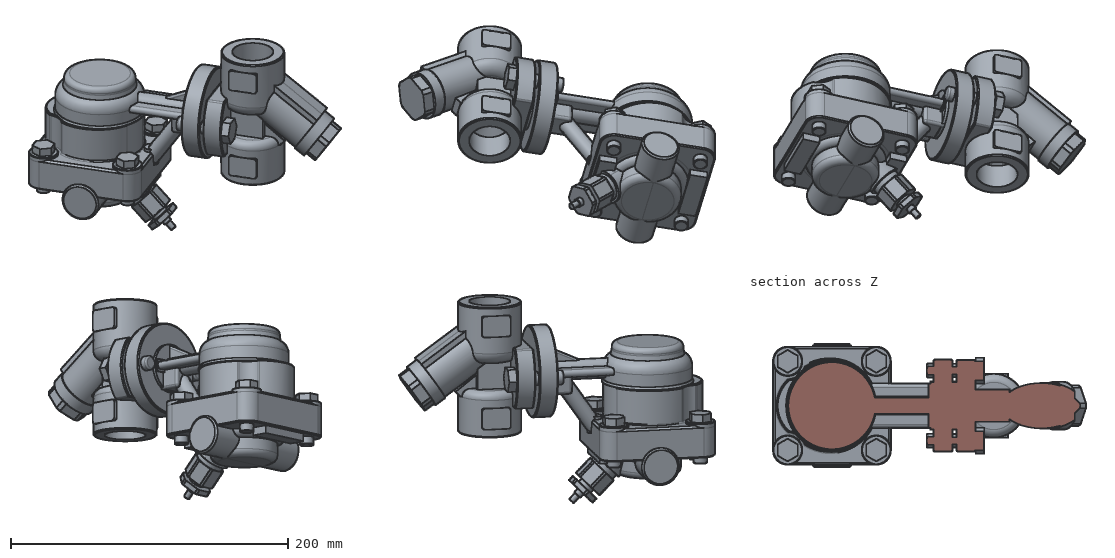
import cadquery as cq
import math


FLANGE_SIDE = 85.2
FLANGE_HEIGHT = 23.7
SEAT_HEIGHT = 25.3
CORNER_RADIUS = 10.6
BOLT_OFFSET = FLANGE_SIDE / 2 - CORNER_RADIUS
FLANGE_TOP_BEVEL = 1.5
FLANGE_BOTTOM_BEVEL = 1.0
SEAT_BEVEL = 0.5
BOLT_FLATS = 14.2
BOLT_HEAD_HEIGHT = 5.9
BOLT_DIAMETER = 10.0
BOLT_END_LENGTH = 5.7
BOLT_END_CHAMFER = 0.5

SHOULDER_RADIUS = 33.5
SHOULDER_SHIFT = -1.4
SHOULDER_TOP = 49.7
LOBE_RADIUS = 25.8
LOBE_REACH = 40.0
BOLT_CLEARANCE = 13.0
SHOULDER_EDGE = 1.0
SHOULDER_BASE_FILLET = 1.0
HOLLOW_BLEND = 2.0
HOLLOW_EDGE_MIN_X = 13.5
HOLLOW_EDGE_MIN_Y = 11.3
DOME_FOOT_FLARE = 1.0
DOME_FOOT_HEIGHT = 2.0
DOME_RADIUS = 32.3
DOME_ARC_START = 61.0
DOME_ARC_RADIUS = 9.7
DOME_ARC_HEIGHT = 8.8
CROWN_RADIUS = 26.0
CROWN_TOP = 79.0
CROWN_FILLET = 4.0
CROWN_BASE_RISE = 3.6

COVER_DEPTH = 18.5
COVER_RADIUS = 24.2
COVER_FLARE = 5.2
COVER_FILLET = 5.2
LEDGE_START = 27.1
LEDGE_END = 39.8
LEDGE_WIDTH = 40.0
LEDGE_DEPTH = 5.7
PLUG_DIAMETER = 27.5
PLUG_SPAN = 89.0
PLUG_CHAMFER = 1.4
PLUG_Z = PLUG_DIAMETER / 2 - COVER_DEPTH

VALVE_ANGLE = 45
VALVE_X = 48.0
VALVE_Z = -28.3
VALVE_FLATS = 21.7
VALVE_ROUND = 24.0
HANDLE_THICKNESS = 4.0
VALVE_STEPS = [
    (25.0, -49.7, -24.5),
    (21.0, -24.5, -20.1),
    (12.0, -5.2, 0.0),
    (6.0, 0.0, 5.7),
    (4.5, 5.7, 11.8),
]
VALVE_NUT_START = -20.1
VALVE_NUT_END = -5.2

PIPE_Z = 60.5
PIPE_DIAMETER = 14.5
WING_WIDTH = 32.3
WING_THICKNESS = 5.7
DISC_START = 73.3
DISC_THICKNESS = 13.8
DISC_DIAMETER = 67.0
DISC_CHAMFER = 1.0
HUB_DIAMETER = 35.0
HUB_LENGTH = 2.3
WING_FOOT_LENGTH = 3.6
WING_FOOT_HEIGHT = 9.0
GUSSET_LENGTH = 22.4
GUSSET_HEIGHT = 10.2
GUSSET_THICKNESS = 4.5
GUSSET_FILLET = 1.4
BOSS_LENGTH = 15.8
BOSS_WIDTH = 18.0
BOSS_BOTTOM = 44.0
BOSS_FILLET = 2.0

DIAGONAL_ANGLE = 55
DIAGONAL_DIAMETER = 12.0
DIAGONAL_X = 38.2
DIAGONAL_Z = 16.5
DIAGONAL_LENGTH = 45.2
PORT_DIAMETER = 10.5
PORT_REACH = 44.5
PORT_BOTTOM = 13.5
PORT_TOP = 26.0

GASKET_THICKNESS = 2.7
COLLAR_DIAMETER = 66.5
COLLAR_HEIGHT = 43.9
COLLAR_THICKNESS = 14.0
COLLAR_EDGE = 1.0
COLLAR_CORNER = 2.0
JOINT_BOLT_Y = 25.3
JOINT_HEAD_DIAMETER = 10.5
JOINT_HEAD_LENGTH = 5.0
JOINT_HEAD_FILLET = 1.4
JOINT_NUT_FLATS = 16.3
JOINT_NUT_HEIGHT = 6.0
COLLAR_START = DISC_START + DISC_THICKNESS + GASKET_THICKNESS
COLLAR_END = COLLAR_START + COLLAR_THICKNESS

BARREL_X = 116.7
BARREL_DIAMETER = 46.0
BARREL_BOTTOM = 17.6
BARREL_TOP = 113.7
BARREL_EDGE = 1.0
LOWER_BARREL_TOP = 51.3
LOWER_BARREL_ROUND = 5.9
UPPER_BARREL_BOTTOM = 71.0
UPPER_BARREL_ROUND = 8.8
NECK_END = 128.2
NECK_WIDTH = 23.5
WEB_WIDTH = 13.5
WEB_TIP = (143.4, 49.5)
WEB_TOP = 61.0
BORE_DIAMETER = 29.6
BORE_DEPTH = 19.0
DRILL_POINT_ANGLE = 118
PAD_LENGTH = 21.0
PAD_HEIGHT = 15.5
PAD_INSET = 14.0
PAD_SPAN = 46.4
PAD_CORNER = 2.0

BRANCH_ANGLE = 35
BRANCH_X = 167.3
BRANCH_Z = 53.4
BRANCH_DIAMETER = 33.0
BRANCH_LENGTH = 46.4
BRANCH_PAD_WIDTH = 22.4
BRANCH_PAD_START = -53.1
RIM_DIAMETER = 34.5
RIM_LENGTH = 8.8
CAP_FLATS = 29.6
CAP_ROUND = 32.3
CAP_LENGTH = 8.4


def box(x_range, y_range, z_range):
    """Box between the given limits."""
    size = [end - start for start, end in (x_range, y_range, z_range)]
    corner = (x_range[0], y_range[0], z_range[0])
    return cq.Workplane("XY").box(*size, centered=False).translate(corner)


def sloping_plane(x, z, angle):
    """Plane whose normal points towards +X, sloping down by the angle; its local X is global +Y."""
    slope = math.radians(angle)
    normal = (math.cos(slope), 0, -math.sin(slope))
    return cq.Plane(origin=(x, 0, z), xDir=(0, 1, 0), normal=normal)


def rod(plane, diameter, start, end):
    """Round bar along the normal of a plane."""
    return cq.Workplane(plane).workplane(offset=start).circle(diameter / 2).extrude(end - start)


def hexagon(plane, corners, start, end, turn=0):
    """Hexagonal bar along the normal of a plane, one corner on local X unless turned."""
    outline = cq.Workplane(plane).workplane(offset=start).transformed(rotate=(0, 0, turn))
    return outline.polygon(6, corners).extrude(end - start)


def across_corners(flats):
    return flats / math.cos(math.radians(30))


def x_plane(y, z):
    return cq.Plane(origin=(0, y, z), xDir=(0, 1, 0), normal=(1, 0, 0))


def z_plane(x, y):
    return cq.Plane(origin=(x, y, 0), xDir=(0, 1, 0), normal=(0, 0, 1))


def bolt_places():
    return [(sx * BOLT_OFFSET, sy * BOLT_OFFSET) for sx in (-1, 1) for sy in (-1, 1)]


def trap_body():
    """Square flange with the lobed shoulder on it."""
    flange = cq.Workplane("XY").rect(FLANGE_SIDE, FLANGE_SIDE).extrude(FLANGE_HEIGHT)
    flange = flange.edges("|Z").fillet(CORNER_RADIUS)
    flange = flange.faces(">Z").chamfer(FLANGE_TOP_BEVEL)
    flange = flange.faces("<Z").chamfer(FLANGE_BOTTOM_BEVEL)

    shoulder = rod(z_plane(SHOULDER_SHIFT, 0), 2 * SHOULDER_RADIUS, 0, SHOULDER_TOP)
    lobe = rod(z_plane(LOBE_RADIUS - LOBE_REACH, 0), 2 * LOBE_RADIUS, 0, SHOULDER_TOP)
    shoulder = shoulder.union(lobe)
    for x, y in bolt_places():
        if x < 0:
            shoulder = shoulder.cut(rod(z_plane(x, y), 2 * BOLT_CLEARANCE, 0, SHOULDER_TOP))
    for side in (-1, 1):
        hollow_edges = cq.selectors.BoxSelector(
            (-LOBE_REACH, side * HOLLOW_EDGE_MIN_Y, 0),
            (-HOLLOW_EDGE_MIN_X, side * SHOULDER_RADIUS, SHOULDER_TOP),
        )
        shoulder = shoulder.edges("|Z").edges(hollow_edges).fillet(HOLLOW_BLEND)
    shoulder = shoulder.faces(">Z").chamfer(SHOULDER_EDGE)

    below = (-LOBE_REACH, -BOLT_OFFSET, FLANGE_HEIGHT - SHOULDER_EDGE)
    above = (LOBE_REACH, BOLT_OFFSET, FLANGE_HEIGHT + SHOULDER_EDGE)
    base_edges = cq.selectors.BoxSelector(below, above)
    return flange.union(shoulder).edges(base_edges).fillet(SHOULDER_BASE_FILLET)


def bolts():
    """Corner seats with the hexagon heads above and the bolt ends below."""
    parts = cq.Workplane("XY")
    head_top = SEAT_HEIGHT + BOLT_HEAD_HEIGHT
    for x, y in bolt_places():
        plane = z_plane(x, y)
        seat = rod(plane, 2 * CORNER_RADIUS, FLANGE_BOTTOM_BEVEL, SEAT_HEIGHT)
        parts = parts.union(seat.faces(">Z").chamfer(SEAT_BEVEL))
        parts = parts.union(hexagon(plane, across_corners(BOLT_FLATS), SEAT_HEIGHT, head_top))
        bolt_end = rod(plane, BOLT_DIAMETER, -BOLT_END_LENGTH, FLANGE_HEIGHT)
        parts = parts.union(bolt_end.faces("<Z").chamfer(BOLT_END_CHAMFER))
    return parts


def dome():
    arc_centre = DOME_RADIUS - DOME_ARC_RADIUS
    arc_end_radius = arc_centre + math.sqrt(DOME_ARC_RADIUS**2 - DOME_ARC_HEIGHT**2)
    half_turn = math.asin(DOME_ARC_HEIGHT / DOME_ARC_RADIUS) / 2
    arc_middle = (
        arc_centre + DOME_ARC_RADIUS * math.cos(half_turn),
        DOME_ARC_START + DOME_ARC_RADIUS * math.sin(half_turn),
    )
    arc_end_z = DOME_ARC_START + DOME_ARC_HEIGHT
    return (
        cq.Workplane("XZ")
        .lineTo(DOME_RADIUS, 0)
        .lineTo(DOME_RADIUS, SHOULDER_TOP)
        .lineTo(DOME_RADIUS + DOME_FOOT_FLARE, SHOULDER_TOP)
        .lineTo(DOME_RADIUS, SHOULDER_TOP + DOME_FOOT_HEIGHT)
        .lineTo(DOME_RADIUS, DOME_ARC_START)
        .threePointArc(arc_middle, (arc_end_radius, arc_end_z))
        .lineTo(CROWN_RADIUS, arc_end_z + CROWN_BASE_RISE)
        .lineTo(CROWN_RADIUS, CROWN_TOP)
        .lineTo(0, CROWN_TOP)
        .close()
        .revolve(360, (0, 0, 0), (0, 1, 0))
        .faces(">Z")
        .fillet(CROWN_FILLET)
    )


def cover():
    bowl = (
        cq.Workplane("XZ")
        .lineTo(COVER_RADIUS + COVER_FLARE, 0)
        .radiusArc((COVER_RADIUS, -COVER_FLARE), COVER_FLARE)
        .lineTo(COVER_RADIUS, -COVER_DEPTH)
        .lineTo(0, -COVER_DEPTH)
        .close()
        .revolve(360, (0, 0, 0), (0, 1, 0))
        .faces("<Z")
        .fillet(COVER_FILLET)
    )
    half_ledge = LEDGE_WIDTH / 2
    ledge = box((LEDGE_START, LEDGE_END), (-half_ledge, half_ledge), (-LEDGE_DEPTH, FLANGE_BOTTOM_BEVEL))
    plug = (
        cq.Workplane("XZ")
        .center(0, PLUG_Z)
        .circle(PLUG_DIAMETER / 2)
        .extrude(PLUG_SPAN / 2, both=True)
        .faces("<Y or >Y")
        .chamfer(PLUG_CHAMFER)
    )
    return bowl.union(ledge).union(ledge.mirror("YZ")).union(plug)


def drain_valve():
    plane = sloping_plane(VALVE_X, VALVE_Z, VALVE_ANGLE)
    corners = across_corners(VALVE_FLATS)
    handle_limits = (-HANDLE_THICKNESS / 2, HANDLE_THICKNESS / 2)
    valve = rod(plane, *VALVE_STEPS[0])
    for step in VALVE_STEPS[1:]:
        valve = valve.union(rod(plane, *step))
    for start, end in [(VALVE_NUT_START, VALVE_NUT_END), handle_limits]:
        trimmed = hexagon(plane, corners, start, end).intersect(rod(plane, VALVE_ROUND, start, end))
        valve = valve.union(trimmed)
    return valve


def connecting_pipe():
    axis = x_plane(0, PIPE_Z)
    pipe = rod(axis, PIPE_DIAMETER, 0, DISC_START)
    half_wing = WING_WIDTH / 2
    wing = cq.Workplane(axis).slot2D(WING_WIDTH, WING_THICKNESS).extrude(DISC_START)
    foot = box(
        (DISC_START - WING_FOOT_LENGTH, DISC_START),
        (-half_wing, half_wing),
        (PIPE_Z - WING_FOOT_HEIGHT / 2, PIPE_Z + WING_FOOT_HEIGHT / 2),
    )
    boss = box(
        (DISC_START - BOSS_LENGTH, DISC_START + DISC_THICKNESS / 2),
        (-BOSS_WIDTH / 2, BOSS_WIDTH / 2),
        (BOSS_BOTTOM, PIPE_Z),
    )
    boss = boss.edges("<Z or (<X and |Z)").fillet(BOSS_FILLET)
    pipe_top = PIPE_Z + PIPE_DIAMETER / 2
    gusset = (
        cq.Workplane("XZ")
        .moveTo(DISC_START - GUSSET_LENGTH, pipe_top)
        .lineTo(DISC_START, pipe_top + GUSSET_HEIGHT)
        .lineTo(DISC_START, PIPE_Z)
        .lineTo(DISC_START - GUSSET_LENGTH, PIPE_Z)
        .close()
        .extrude(GUSSET_THICKNESS / 2, both=True)
        .faces(">Z")
        .edges("not |Y")
        .edges("not |Z")
        .fillet(GUSSET_FILLET)
    )
    return pipe.union(wing).union(foot).union(boss).union(gusset)


def diagonal_pipe():
    plane = sloping_plane(DIAGONAL_X, DIAGONAL_Z, -DIAGONAL_ANGLE)
    port = rod(z_plane(PORT_REACH - PORT_DIAMETER / 2, 0), PORT_DIAMETER, PORT_BOTTOM, PORT_TOP)
    return rod(plane, DIAGONAL_DIAMETER, 0, DIAGONAL_LENGTH).union(port)


def flange_joint():
    axis = x_plane(0, PIPE_Z)
    disc_end = DISC_START + DISC_THICKNESS
    disc = rod(axis, DISC_DIAMETER, DISC_START, disc_end)
    disc = disc.faces("<X or >X").chamfer(DISC_CHAMFER)
    hub = rod(axis, HUB_DIAMETER, DISC_START - HUB_LENGTH, COLLAR_START)
    collar = rod(axis, COLLAR_DIAMETER, COLLAR_START, COLLAR_END)
    flats = box(
        (COLLAR_START, COLLAR_END),
        (-COLLAR_DIAMETER, COLLAR_DIAMETER),
        (PIPE_Z - COLLAR_HEIGHT / 2, PIPE_Z + COLLAR_HEIGHT / 2),
    )
    collar = collar.intersect(flats).edges("|X").fillet(COLLAR_CORNER)
    collar = collar.faces("<X or >X").chamfer(COLLAR_EDGE)
    joint = disc.union(hub).union(collar)
    for y in (-JOINT_BOLT_Y, JOINT_BOLT_Y):
        plane = x_plane(y, PIPE_Z)
        head = rod(plane, JOINT_HEAD_DIAMETER, DISC_START - JOINT_HEAD_LENGTH, DISC_START)
        joint = joint.union(head.faces("<X").fillet(JOINT_HEAD_FILLET))
        joint = joint.union(rod(plane, BOLT_DIAMETER, DISC_START, COLLAR_END))
        nut_end = COLLAR_END + JOINT_NUT_HEIGHT
        joint = joint.union(hexagon(plane, across_corners(JOINT_NUT_FLATS), COLLAR_END, nut_end))
    return joint


def barrels():
    plane = z_plane(BARREL_X, 0)
    lower = rod(plane, BARREL_DIAMETER, BARREL_BOTTOM, LOWER_BARREL_TOP)
    lower = lower.faces(">Z").fillet(LOWER_BARREL_ROUND).faces("<Z").chamfer(BARREL_EDGE)
    upper = rod(plane, BARREL_DIAMETER, UPPER_BARREL_BOTTOM, BARREL_TOP)
    upper = upper.faces("<Z").fillet(UPPER_BARREL_ROUND).faces(">Z").chamfer(BARREL_EDGE)
    neck = box(
        (COLLAR_START, NECK_END),
        (-NECK_WIDTH / 2, NECK_WIDTH / 2),
        (LOWER_BARREL_TOP - LOWER_BARREL_ROUND, UPPER_BARREL_BOTTOM + UPPER_BARREL_ROUND),
    )
    web_bottom = LOWER_BARREL_TOP - LOWER_BARREL_ROUND
    web = (
        cq.Workplane("XZ")
        .moveTo(BARREL_X, WEB_TOP)
        .lineTo(NECK_END, WEB_TOP)
        .lineTo(*WEB_TIP)
        .lineTo(BARREL_X + BARREL_DIAMETER / 2, web_bottom)
        .lineTo(BARREL_X, web_bottom)
        .close()
        .extrude(WEB_WIDTH / 2, both=True)
    )
    body = lower.union(upper).union(neck).union(web)
    for z in (BARREL_BOTTOM + PAD_INSET, BARREL_TOP - PAD_INSET):
        pad = cq.Workplane("XY").box(PAD_LENGTH, PAD_SPAN, PAD_HEIGHT).edges("|Y").fillet(PAD_CORNER)
        body = body.union(pad.translate((BARREL_X, 0, z)))
    return body


def pipe_bores():
    """Blind end bores with conical drill points, one in each barrel."""
    radius = BORE_DIAMETER / 2
    point_depth = radius / math.tan(math.radians(DRILL_POINT_ANGLE / 2))
    bore = (
        cq.Workplane("XZ")
        .lineTo(radius, 0)
        .lineTo(radius, -BORE_DEPTH)
        .lineTo(0, -BORE_DEPTH - point_depth)
        .close()
        .revolve(360, (0, 0, 0), (0, 1, 0))
    )
    upper = bore.translate((BARREL_X, 0, BARREL_TOP))
    lower = bore.mirror("XY").translate((BARREL_X, 0, BARREL_BOTTOM))
    return upper.union(lower)


def strainer_branch():
    plane = sloping_plane(BRANCH_X, BRANCH_Z, BRANCH_ANGLE)
    branch = rod(plane, BRANCH_DIAMETER, -BRANCH_LENGTH, 0)
    rim = rod(plane, RIM_DIAMETER, -RIM_LENGTH, 0)
    cap = hexagon(plane, across_corners(CAP_FLATS), 0, CAP_LENGTH, 90)
    cap = cap.intersect(rod(plane, CAP_ROUND, 0, CAP_LENGTH))
    pad = (
        cq.Workplane(plane)
        .workplane(offset=BRANCH_PAD_START)
        .center(0, BRANCH_DIAMETER / 4)
        .rect(BRANCH_PAD_WIDTH, BRANCH_DIAMETER / 2)
        .extrude(-RIM_LENGTH - BRANCH_PAD_START)
    )
    return branch.union(rim).union(cap).union(pad)


result = trap_body()
for feature in (
    bolts(),
    dome(),
    cover(),
    drain_valve(),
    connecting_pipe(),
    diagonal_pipe(),
    flange_joint(),
    barrels(),
    strainer_branch(),
):
    result = result.union(feature)
result = result.cut(pipe_bores())